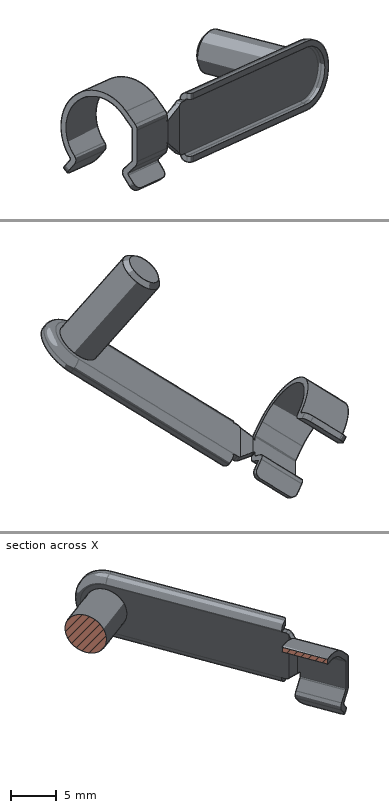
import cadquery as cq
import math

sheet = 0.7
inner_bend_radius = 0.2
outer_bend_radius = inner_bend_radius + sheet

pin_diameter = 5.0
pin_length = 12.05
pin_chamfer = 0.53

lever_half_width = 4.0
lever_height = 1.45
lever_bend_radius = 0.92
flange_end_y = -21.05
flange_corner_radius = 0.5

neck_root_half_width = lever_half_width - lever_bend_radius
neck_tip_half_width = 1.3
taper_start_y = -21.75
taper_end_y = -23.43
taper_corner_radius = 0.5
offset_start_y = -21.95
offset_end_y = -23.23

clip_width = 5.48
clip_end_y = lever_half_width - 33
clip_start_y = clip_end_y + clip_width
clip_radius = 5.2
clip_center_x = -5.05
clip_flat_x = 0.13
clip_bend_z = -3.5
tab_length = 2.0
tab_angle = math.radians(50)
tab_corner_radius = 0.8
diagonal = math.sqrt(0.5)


def make_pin():
    pin = cq.Workplane("YZ").circle(pin_diameter / 2).extrude(-pin_length)
    return pin.faces("<X").chamfer(pin_chamfer)


def rounded_tongue(half_width, start_x, end_x, bend_radius):
    """Round-ended block with its -X rim rounded, cut square at the flange end."""
    uncut_end_y = flange_end_y - lever_half_width
    tongue = (
        cq.Workplane("YZ", origin=(start_x, 0, 0))
        .moveTo(uncut_end_y, half_width)
        .lineTo(0, half_width)
        .threePointArc((half_width, 0), (0, -half_width))
        .lineTo(uncut_end_y, -half_width)
        .close()
        .extrude(end_x - start_x)
        .faces("<X").edges("not(<Y)").fillet(bend_radius)
    )
    return tongue.intersect(
        cq.Workplane("XY").box(
            4 * lever_height, lever_half_width - flange_end_y, 2 * lever_half_width
        ).translate((0, (lever_half_width + flange_end_y) / 2, 0))
    )


def make_lever():
    outer = rounded_tongue(lever_half_width, 0, lever_height, lever_bend_radius)
    inner = rounded_tongue(
        lever_half_width - sheet, sheet, lever_height, lever_bend_radius - sheet
    )
    channel = outer.cut(inner)
    return channel.faces("<Y").edges(">X").fillet(flange_corner_radius)


def make_neck():
    inner_x = clip_flat_x - sheet
    slope_angle = math.atan2(-inner_x, offset_start_y - offset_end_y)
    bend_stagger = sheet * math.tan(slope_angle / 2)
    profile = (
        cq.Workplane("XY")
        .moveTo(0, flange_end_y)
        .lineTo(0, offset_start_y)
        .lineTo(inner_x, offset_end_y)
        .lineTo(inner_x, clip_start_y)
        .lineTo(clip_flat_x, clip_start_y)
        .lineTo(clip_flat_x, offset_end_y - bend_stagger)
        .lineTo(sheet, offset_start_y - bend_stagger)
        .lineTo(sheet, flange_end_y)
        .close()
        .extrude(neck_root_half_width, both=True)
    )
    blank = (
        cq.Workplane("YZ")
        .polyline([
            (flange_end_y, neck_root_half_width),
            (taper_start_y, neck_root_half_width),
            (taper_end_y, neck_tip_half_width),
            (clip_start_y, neck_tip_half_width),
            (clip_start_y, -neck_tip_half_width),
            (taper_end_y, -neck_tip_half_width),
            (taper_start_y, -neck_root_half_width),
            (flange_end_y, -neck_root_half_width),
        ])
        .close()
        .extrude(2 * lever_height, both=True)
        .edges(cq.selectors.BoxSelector(
            (-lever_height, taper_start_y - sheet / 2, -lever_half_width),
            (lever_height, taper_start_y + sheet / 2, lever_half_width),
        ))
        .fillet(taper_corner_radius)
    )
    return profile.intersect(blank)


def shifted(point, distance, direction):
    return (point[0] + distance * direction[0], point[1] + distance * direction[1])


def make_clip():
    center = (clip_center_x, 0)
    inner_radius = clip_radius - sheet
    flat_inner_x = clip_flat_x - sheet
    up_right = (diagonal, diagonal)
    up_left = (-diagonal, diagonal)

    outer_corner_z = clip_center_x + clip_radius / diagonal - clip_flat_x
    inner_corner_z = clip_center_x + inner_radius / diagonal - flat_inner_x

    tab_right = (math.cos(tab_angle), -math.sin(tab_angle))
    tab_left = (-tab_right[0], tab_right[1])
    right_across = (-math.sin(tab_angle), -math.cos(tab_angle))
    left_across = (-right_across[0], right_across[1])

    right_bend = (clip_flat_x + outer_corner_z + clip_bend_z, clip_bend_z)
    bend_reach = math.sqrt(clip_radius**2 - clip_bend_z**2)
    left_bend = (clip_center_x - bend_reach, clip_bend_z)
    to_center = (bend_reach / clip_radius, -clip_bend_z / clip_radius)
    right_tip = shifted(right_bend, tab_length, tab_right)
    left_tip = shifted(left_bend, tab_length, tab_left)

    clip = (
        cq.Workplane("XZ", origin=(0, clip_start_y, 0))
        .moveTo(*left_bend)
        .threePointArc(shifted(center, clip_radius, up_left), shifted(center, clip_radius, up_right))
        .lineTo(clip_flat_x, outer_corner_z)
        .lineTo(clip_flat_x, -outer_corner_z)
        .lineTo(*right_bend)
        .lineTo(*right_tip)
        .lineTo(*shifted(right_tip, sheet, right_across))
        .lineTo(*shifted(right_bend, sheet, right_across))
        .threePointArc(shifted(right_bend, sheet, (-1, 0)), shifted(right_bend, sheet, up_left))
        .lineTo(flat_inner_x, -inner_corner_z)
        .lineTo(flat_inner_x, inner_corner_z)
        .lineTo(*shifted(center, inner_radius, up_right))
        .threePointArc(shifted(center, inner_radius, up_left), shifted(left_bend, sheet, to_center))
        .threePointArc(shifted(left_bend, sheet, (1, 0)), shifted(left_bend, sheet, left_across))
        .lineTo(*shifted(left_tip, sheet, left_across))
        .lineTo(*left_tip)
        .close()
        .extrude(clip_width)
    )
    bends = (
        (right_bend, inner_bend_radius),
        (left_bend, inner_bend_radius),
        ((clip_flat_x, outer_corner_z), outer_bend_radius),
        ((clip_flat_x, -outer_corner_z), outer_bend_radius),
        ((flat_inner_x, inner_corner_z), inner_bend_radius),
        ((flat_inner_x, -inner_corner_z), inner_bend_radius),
    )
    middle_y = (clip_start_y + clip_end_y) / 2
    for (x, z), radius in bends:
        bend_line = cq.selectors.NearestToPointSelector((x, middle_y, z))
        clip = clip.edges("|Y").edges(bend_line).fillet(radius)

    for tip, across in ((right_tip, right_across), (left_tip, left_across)):
        middle = shifted(tip, sheet / 2, across)
        across_sheet = cq.selectors.ParallelDirSelector(cq.Vector(across[0], 0, across[1]))
        for y in (clip_start_y, clip_end_y):
            corner = cq.selectors.NearestToPointSelector((middle[0], y, middle[1]))
            clip = clip.edges(across_sheet).edges(corner).fillet(tab_corner_radius)
    return clip


result = make_lever().union(make_pin()).union(make_neck()).union(make_clip())